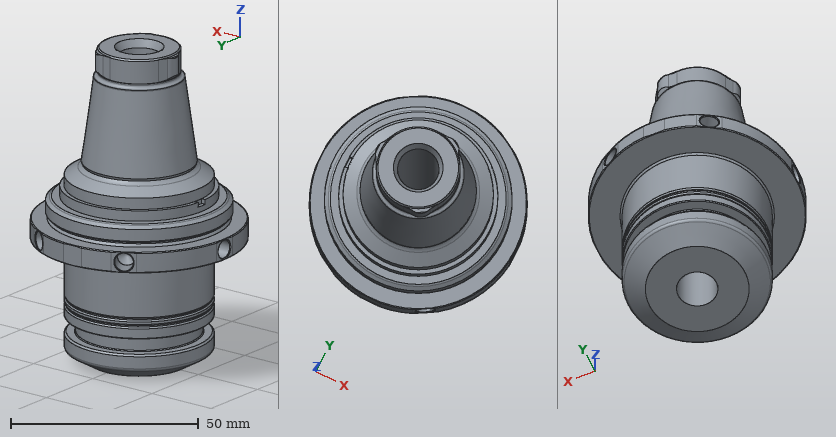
import cadquery as cq
import math

TOTAL_HEIGHT = 88.0
RIM_TOP = 8.1
NECK_TOP = 12.5
LOWER_GROOVE_Z = 16.0
UPPER_GROOVE_Z = 17.95
FLANGE_BOTTOM = 34.1
FLANGE_TOP = 39.95
DISC_BOTTOM = 41.45
DISC_TOP = 46.1
COLLAR_TOP = 49.0
SHOULDER_BASE = 52.2
SHOULDER_ROUND_START = 54.3
TAPER_BOTTOM = 56.1
TAPER_TOP = 79.8
NUT_BOTTOM = 81.2

BODY_R = 40.0 / 2
BOTTOM_FACE_R = 13.8
NECK_R = 34.0 / 2
DISC_R = 50.0 / 2
DISC_NECK_R = 48.1 / 2
COLLAR_R = 42.4 / 2
TAPER_BOTTOM_R = 15.5
TAPER_RELIEF_R = 15.2
TAPER_TOP_R = 12.2
NUT_NECK_R = 11.0
NUT_R = 11.2
BORE_R = 11.0 / 2

CONE_ANGLE = math.radians(30)
RIM_ROUND = 1.1
RIM_CHAMFER = 0.5
SMALL_CHAMFER = 0.3
UNDER_FLANGE_CHAMFER = 0.5
GROOVE_DEPTH = 0.35
GROOVE_WIDTH = 1.2
GROOVE_FLOOR = 0.35
DISC_NECK_FLARE = 0.5
DISC_NECK_FLARE_HEIGHT = 0.8
DISC_UNDERCUT_DROP = 0.35
DISC_CHAMFER = 1.1
DISC_EDGE_DROP = 0.3
DISC_EDGE_WIDTH = 0.5
TAPER_RELIEF_HEIGHT = 0.7
TAPER_LAND = 0.3
NUT_NECK_ROUND = 1.0
NUT_CHAMFER = 0.4

MOUTH_R = 6.6
MOUTH_DEPTH = 2.2

FLANGE_R = 29.0
FLANGE_CHAMFER = 0.3
HOLE_FLAT_WIDTH = 6.9
PLAIN_FLAT_WIDTH = 6.1
PLAIN_FLAT_ANGLES = (90, 270)
HOLE_COUNT = 6
HOLE_R = 5.0 / 2
HOLE_RIM_R = 5.5 / 2
HOLE_DEPTH = 5.0
DRILL_TIP_ANGLE = math.radians(118)

NOTCH_WIDTH = 3.0
NOTCH_DEPTH = 1.3

LOBE_COUNT = 3
FIRST_LOBE_ANGLE = 180
LOBE_R = 12.3
LOBE_CREST_WIDTH = 4.75
LOBE_CREST_X = 11.35
LOBE_BASE_WIDTH = 9.2
LOBE_TOP = 87.65
LOBE_BEVEL = 1.2


def chord_distance(radius, width):
    """Distance from the axis to a chord of the given width."""
    return math.sqrt(radius**2 - (width / 2) ** 2)


def groove_points(center_z):
    """Trapezoidal groove in the body, listed upwards."""
    floor_r = BODY_R - GROOVE_DEPTH
    return [
        (BODY_R, center_z - GROOVE_WIDTH / 2),
        (floor_r, center_z - GROOVE_FLOOR / 2),
        (floor_r, center_z + GROOVE_FLOOR / 2),
        (BODY_R, center_z + GROOVE_WIDTH / 2),
    ]


def lines_to(sketch, points):
    """Continue a sketch with straight lines through the points."""
    for point in points:
        sketch = sketch.lineTo(*point)
    return sketch


def turned_body():
    """Revolved body from the bottom cone to the nut, without the flange."""
    cone_corner_z = (BODY_R - BOTTOM_FACE_R) * math.tan(CONE_ANGLE)
    tangent = RIM_ROUND * math.tan((math.pi / 2 - CONE_ANGLE) / 2)
    sketch = cq.Workplane("XZ").moveTo(0, 0).lineTo(BOTTOM_FACE_R, 0)
    sketch = sketch.lineTo(
        BODY_R - tangent * math.cos(CONE_ANGLE),
        cone_corner_z - tangent * math.sin(CONE_ANGLE),
    )
    sketch = sketch.tangentArcPoint((BODY_R, cone_corner_z + tangent), relative=False)

    lower_points = [
        (BODY_R, RIM_TOP - RIM_CHAMFER),
        (BODY_R - RIM_CHAMFER, RIM_TOP),
        (NECK_R + SMALL_CHAMFER, RIM_TOP),
        (NECK_R, RIM_TOP + SMALL_CHAMFER),
        (NECK_R, NECK_TOP - SMALL_CHAMFER),
        (NECK_R + SMALL_CHAMFER, NECK_TOP),
        (BODY_R - SMALL_CHAMFER, NECK_TOP),
        (BODY_R, NECK_TOP + SMALL_CHAMFER),
        *groove_points(LOWER_GROOVE_Z),
        *groove_points(UPPER_GROOVE_Z),
        (BODY_R, FLANGE_BOTTOM - UNDER_FLANGE_CHAMFER),
        (BODY_R + UNDER_FLANGE_CHAMFER, FLANGE_BOTTOM),
        (DISC_NECK_R + DISC_NECK_FLARE, FLANGE_BOTTOM),
        (DISC_NECK_R + DISC_NECK_FLARE, FLANGE_TOP),
        (DISC_NECK_R, FLANGE_TOP + DISC_NECK_FLARE_HEIGHT),
        (DISC_NECK_R, DISC_BOTTOM - DISC_UNDERCUT_DROP),
        (DISC_R - SMALL_CHAMFER, DISC_BOTTOM),
        (DISC_R, DISC_BOTTOM + SMALL_CHAMFER),
        (DISC_R, DISC_TOP - DISC_CHAMFER),
        (DISC_R - DISC_CHAMFER, DISC_TOP - DISC_EDGE_DROP),
        (DISC_R - DISC_CHAMFER - DISC_EDGE_WIDTH, DISC_TOP),
        (COLLAR_R, DISC_TOP),
        (COLLAR_R, COLLAR_TOP),
        (BODY_R, COLLAR_TOP),
        (BODY_R, SHOULDER_BASE),
    ]
    sketch = lines_to(sketch, lower_points)

    round_start_r = BODY_R - (SHOULDER_ROUND_START - SHOULDER_BASE) / math.tan(CONE_ANGLE)
    relief_bottom = TAPER_BOTTOM - TAPER_RELIEF_HEIGHT
    sketch = sketch.lineTo(round_start_r, SHOULDER_ROUND_START)
    sketch = sketch.tangentArcPoint((TAPER_RELIEF_R, relief_bottom), relative=False)

    taper_points = [
        (TAPER_BOTTOM_R, TAPER_BOTTOM),
        (TAPER_TOP_R, TAPER_TOP - TAPER_LAND),
        (TAPER_TOP_R, TAPER_TOP),
        (NUT_NECK_R + NUT_NECK_ROUND, TAPER_TOP),
    ]
    sketch = lines_to(sketch, taper_points)
    sketch = sketch.tangentArcPoint((NUT_NECK_R, TAPER_TOP + NUT_NECK_ROUND), relative=False)
    nut_points = [
        (NUT_NECK_R, NUT_BOTTOM),
        (NUT_R, NUT_BOTTOM),
        (NUT_R, TOTAL_HEIGHT - NUT_CHAMFER),
        (NUT_R - NUT_CHAMFER, TOTAL_HEIGHT),
        (0, TOTAL_HEIGHT),
    ]
    return lines_to(sketch, nut_points).close().revolve(360, (0, 0, 0), (0, 1, 0))


def flange():
    """Flange disc with shallow flats at the hole positions and on the Y axis."""
    height = FLANGE_TOP - FLANGE_BOTTOM
    disc = cq.Workplane("XY").workplane(offset=FLANGE_BOTTOM).circle(FLANGE_R).extrude(height)
    disc = disc.faces("<Z or >Z").edges().chamfer(FLANGE_CHAMFER)

    hole_flat = chord_distance(FLANGE_R, HOLE_FLAT_WIDTH)
    plain_flat = chord_distance(FLANGE_R, PLAIN_FLAT_WIDTH)
    hole_angles = [index * 360 / HOLE_COUNT for index in range(HOLE_COUNT)]
    flats = [(angle, hole_flat) for angle in hole_angles]
    flats += [(angle, plain_flat) for angle in PLAIN_FLAT_ANGLES]
    for angle, distance in flats:
        cutter = (
            cq.Workplane("XY")
            .box(FLANGE_R, 2 * FLANGE_R, height, centered=(False, True, False))
            .translate((distance, 0, FLANGE_BOTTOM))
            .rotate((0, 0, 0), (0, 0, 1), angle)
        )
        disc = disc.cut(cutter)
    return disc


def radial_holes():
    """Drilled blind holes with broken rims in the flats of the flange."""
    mid_z = (FLANGE_BOTTOM + FLANGE_TOP) / 2
    flat_x = chord_distance(FLANGE_R, HOLE_FLAT_WIDTH)
    floor_x = flat_x - HOLE_DEPTH
    rim_depth = HOLE_RIM_R - HOLE_R
    tip_x = floor_x - HOLE_R / math.tan(DRILL_TIP_ANGLE / 2)
    outline = [
        (tip_x, 0),
        (floor_x, HOLE_R),
        (flat_x - rim_depth, HOLE_R),
        (flat_x, HOLE_RIM_R),
        (FLANGE_R, HOLE_RIM_R),
        (FLANGE_R, 0),
    ]
    drill = cq.Workplane("XZ").polyline(outline).close().revolve(360, (0, 0, 0), (1, 0, 0))
    drill = drill.translate((0, 0, mid_z))
    holes = drill
    for index in range(1, HOLE_COUNT):
        holes = holes.union(drill.rotate((0, 0, 0), (0, 0, 1), index * 360 / HOLE_COUNT))
    return holes


def nut_lobes():
    """Lobes around the nut, bevelled underneath at 45 degrees."""
    base_x = chord_distance(NUT_R, LOBE_BASE_WIDTH)
    base_y = LOBE_BASE_WIDTH / 2
    crest_y = LOBE_CREST_WIDTH / 2
    lobe = (
        cq.Workplane("XY")
        .workplane(offset=NUT_BOTTOM)
        .moveTo(0, 0)
        .lineTo(base_x, -base_y)
        .lineTo(LOBE_CREST_X, -crest_y)
        .threePointArc((LOBE_R, 0), (LOBE_CREST_X, crest_y))
        .lineTo(base_x, base_y)
        .close()
        .extrude(LOBE_TOP - NUT_BOTTOM)
    )
    lobes = lobe.rotate((0, 0, 0), (0, 0, 1), FIRST_LOBE_ANGLE)
    for index in range(1, LOBE_COUNT):
        angle = FIRST_LOBE_ANGLE + index * 360 / LOBE_COUNT
        lobes = lobes.union(lobe.rotate((0, 0, 0), (0, 0, 1), angle))

    envelope_points = [
        (0, NUT_BOTTOM),
        (LOBE_R - LOBE_BEVEL, NUT_BOTTOM),
        (LOBE_R, NUT_BOTTOM + LOBE_BEVEL),
        (LOBE_R, LOBE_TOP - SMALL_CHAMFER),
        (LOBE_R - SMALL_CHAMFER, LOBE_TOP),
        (0, LOBE_TOP),
    ]
    envelope = cq.Workplane("XZ").polyline(envelope_points).close().revolve(360, (0, 0, 0), (0, 1, 0))
    return lobes.intersect(envelope)


def through_bore():
    """Plain bore with a conical mouth at the nut end."""
    outline = [
        (0, 0),
        (BORE_R, 0),
        (BORE_R, TOTAL_HEIGHT - MOUTH_DEPTH),
        (MOUTH_R, TOTAL_HEIGHT),
        (0, TOTAL_HEIGHT),
    ]
    return cq.Workplane("XZ").polyline(outline).close().revolve(360, (0, 0, 0), (0, 1, 0))


def collar_notch():
    """Notch on the -X side of the collar, down to the body radius."""
    length = COLLAR_R - chord_distance(BODY_R, NOTCH_WIDTH)
    return (
        cq.Workplane("XY")
        .box(length, NOTCH_WIDTH, NOTCH_DEPTH, centered=(False, True, False))
        .translate((-COLLAR_R, 0, COLLAR_TOP - NOTCH_DEPTH))
    )


result = turned_body().union(flange()).union(nut_lobes())
result = result.cut(radial_holes()).cut(collar_notch()).cut(through_bore())